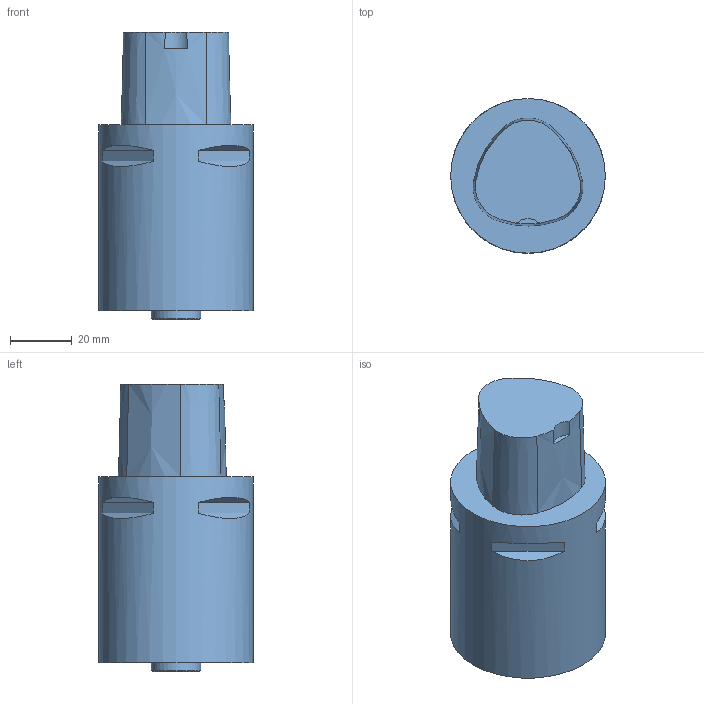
import cadquery as cq
import math

BODY_DIAMETER = 50.0
BODY_LENGTH = 60.0

BOSS_DIAMETER = 16.0
BOSS_LENGTH = 3.0
BOSS_CHAMFER = 0.4

SHANK_LENGTH = 30.0
LOBE_COUNT = 3
FIRST_LOBE_ANGLE = 90.0
LOBE_REACH = 18.7
FLANK_REACH = 16.25
LOBE_RADIUS = 11.7
SHANK_INSET = 0.75

GROOVE_COUNT = 4
GROOVE_FIRST_ANGLE = 45.0
GROOVE_FLOOR_REACH = 22.1
GROOVE_FLOOR_WIDTH = 3.5
GROOVE_WALL_ANGLE = 30.0
GROOVE_CENTER_DEPTH = 10.0

NOTCH_RADIUS = 5.0
NOTCH_DEPTH = 5.4
NOTCH_INNER_REACH = 13.85

BODY_RADIUS = BODY_DIAMETER / 2


def polar(reach, angle):
    """Point at a distance from the axis and an angle in degrees from +X."""
    return (reach * math.cos(math.radians(angle)), reach * math.sin(math.radians(angle)))


def make_body():
    return cq.Workplane("XY").workplane(offset=-BODY_LENGTH).circle(BODY_RADIUS).extrude(BODY_LENGTH)


def make_boss():
    boss = (
        cq.Workplane("XY")
        .workplane(offset=-BODY_LENGTH)
        .circle(BOSS_DIAMETER / 2)
        .extrude(-BOSS_LENGTH)
    )
    return boss.faces("<Z").chamfer(BOSS_CHAMFER)


def lobe_joint_offset():
    """Distance along and across a lobe's centre line to the joint of lobe and flank arcs.

    The flank radius follows from tangency: the arc centres, seen from the axis,
    are 120 degrees apart, and their distance is the difference of the two radii.
    """
    lobe_center = LOBE_REACH - LOBE_RADIUS
    flank_radius = (
        lobe_center**2 + FLANK_REACH**2 - lobe_center * FLANK_REACH - LOBE_RADIUS**2
    ) / (2 * FLANK_REACH - lobe_center - 2 * LOBE_RADIUS)
    flank_center = polar(flank_radius - FLANK_REACH, -360 / LOBE_COUNT)
    toward_joint_x = lobe_center - flank_center[0]
    toward_joint_y = -flank_center[1]
    stretch = LOBE_RADIUS / math.hypot(toward_joint_x, toward_joint_y)
    return (lobe_center + toward_joint_x * stretch, toward_joint_y * stretch)


def make_shank():
    """Tapered prism on six tangent arcs, alternating lobe and flank."""
    along, across = lobe_joint_offset()
    joint_reach = math.hypot(along, across)
    joint_angle = math.degrees(math.atan2(across, along))
    pitch = 360 / LOBE_COUNT

    outline = cq.Workplane("XY").moveTo(*polar(joint_reach, FIRST_LOBE_ANGLE - joint_angle))
    for lobe in range(LOBE_COUNT):
        lobe_angle = FIRST_LOBE_ANGLE + lobe * pitch
        outline = outline.threePointArc(
            polar(LOBE_REACH, lobe_angle),
            polar(joint_reach, lobe_angle + joint_angle),
        )
        outline = outline.threePointArc(
            polar(FLANK_REACH, lobe_angle + pitch / 2),
            polar(joint_reach, lobe_angle + pitch - joint_angle),
        )
    taper_angle = math.degrees(math.atan(SHANK_INSET / SHANK_LENGTH))
    return outline.close().extrude(SHANK_LENGTH, taper=taper_angle)


def make_groove_cutter(angle):
    """Trapezoidal bar, running tangentially, centred at the given angle around Z."""
    bar_depth = BODY_RADIUS - GROOVE_FLOOR_REACH
    half_floor = GROOVE_FLOOR_WIDTH / 2
    half_mouth = half_floor + bar_depth * math.tan(math.radians(GROOVE_WALL_ANGLE))
    section = [
        (GROOVE_FLOOR_REACH, half_floor - GROOVE_CENTER_DEPTH),
        (BODY_RADIUS, half_mouth - GROOVE_CENTER_DEPTH),
        (BODY_RADIUS, -half_mouth - GROOVE_CENTER_DEPTH),
        (GROOVE_FLOOR_REACH, -half_floor - GROOVE_CENTER_DEPTH),
    ]
    cutter = cq.Workplane("XZ").polyline(section).close().extrude(BODY_RADIUS, both=True)
    return cutter.rotate((0, 0, 0), (0, 0, 1), angle)


def make_notch_cutter():
    return (
        cq.Workplane("XY")
        .workplane(offset=SHANK_LENGTH - NOTCH_DEPTH)
        .center(0, -(NOTCH_INNER_REACH + NOTCH_RADIUS))
        .circle(NOTCH_RADIUS)
        .extrude(NOTCH_DEPTH)
    )


result = make_body().union(make_boss()).union(make_shank())
for index in range(GROOVE_COUNT):
    result = result.cut(make_groove_cutter(GROOVE_FIRST_ANGLE + index * 360 / GROOVE_COUNT))
result = result.cut(make_notch_cutter())